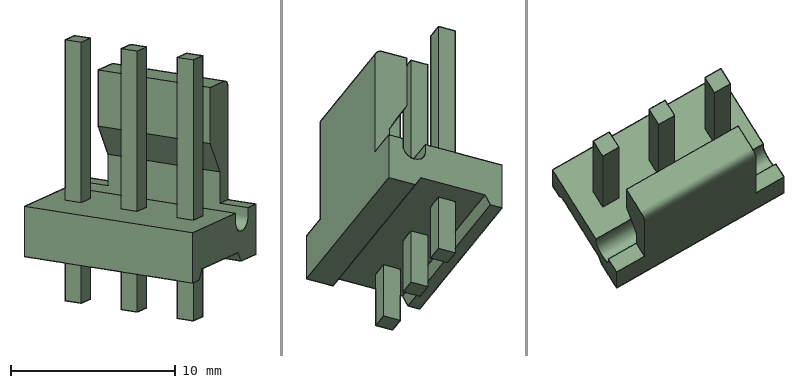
import cadquery as cq

pin_count = 3
pin_pitch = 3.96
pin_side = 1.14
pin_length = 16.51
pin_y = 3.05

base_width = pin_count * pin_pitch
base_depth = 7.63
base_bottom = 3.19
base_top = 6.37

channel_roof = 3.81
channel_front = 0.8
channel_back = 5.83
channel_slope_run = 0.36

wall_width = (pin_count - 1) * pin_pitch
wall_top = 13.97
stem_thickness = 0.97
head_thickness = 2.15
slope_bottom = 8.35
slope_top = 10.42
wall_edge_radius = 0.48

groove_width = 1.49
groove_bottom = 5.09

stem_front = base_depth - stem_thickness
head_front = base_depth - head_thickness
groove_radius = groove_width / 2
groove_front = stem_front - groove_width
groove_center_y = stem_front - groove_radius
groove_center_z = groove_bottom + groove_radius


def extrude_across(profile, width):
    """Extrude a closed YZ profile symmetrically about X = 0."""
    return profile.close().extrude(width / 2, both=True)


def make_base():
    profile = (
        cq.Workplane("YZ")
        .moveTo(0, base_bottom)
        .lineTo(channel_front, base_bottom)
        .lineTo(channel_front + channel_slope_run, channel_roof)
        .lineTo(channel_back - channel_slope_run, channel_roof)
        .lineTo(channel_back, base_bottom)
        .lineTo(base_depth, base_bottom)
        .lineTo(base_depth, base_top)
        .lineTo(stem_front, base_top)
        .lineTo(stem_front, groove_center_z)
        .threePointArc((groove_center_y, groove_bottom), (groove_front, groove_center_z))
        .lineTo(groove_front, base_top)
        .lineTo(0, base_top)
    )
    return extrude_across(profile, base_width)


def make_wall():
    profile = (
        cq.Workplane("YZ")
        .moveTo(base_depth, base_top)
        .lineTo(base_depth, wall_top)
        .lineTo(head_front, wall_top)
        .lineTo(head_front, slope_top)
        .lineTo(stem_front, slope_bottom)
        .lineTo(stem_front, base_top)
    )
    wall = extrude_across(profile, wall_width)
    return wall.edges("|X and >Y and >Z").fillet(wall_edge_radius)


def make_pin(x):
    return (
        cq.Workplane("XY")
        .center(x, pin_y)
        .rect(pin_side, pin_side)
        .extrude(pin_length)
    )


result = make_base().union(make_wall())
for index in range(pin_count):
    pin_x = (index - (pin_count - 1) / 2) * pin_pitch
    result = result.union(make_pin(pin_x))